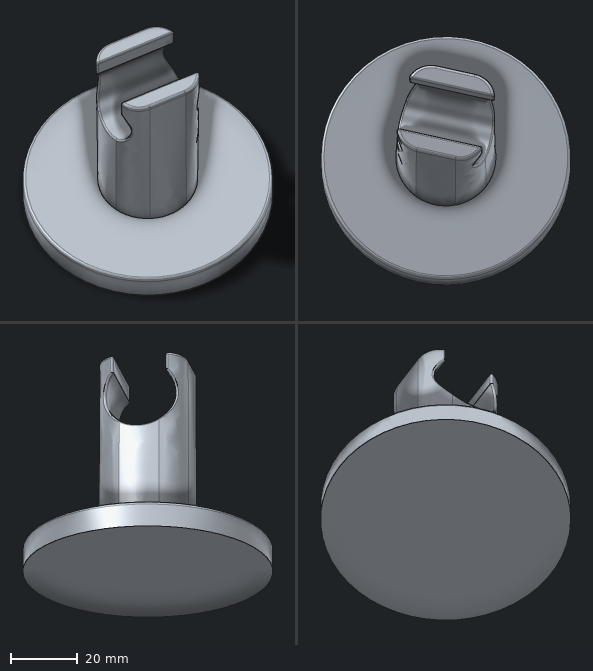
import cadquery as cq
import math

flange_radius = 37.5
flange_height = 8.0
edge_round = 1.0

total_height = 65.3
post_height = total_height - flange_height
post_radius = 15.0
top_half_width = 13.5
top_corner_radius = 7.5

bore_radius = 10.6
bore_height = 52.7
slot_half_width = 7.95
rim_round = 0.5


def arc_outline(workplane, side_ends, side_middle, corner_middle, straight_sides):
    """Draw four sides and four corner arcs, turning the same points through 90 degrees."""

    def turned(point, quarter):
        x, y = point
        for _ in range(quarter):
            x, y = -y, x
        return x, y

    side_start, side_end = side_ends
    outline = workplane.moveTo(*side_start)
    for quarter in range(4):
        if straight_sides:
            outline = outline.lineTo(*turned(side_end, quarter))
        else:
            outline = outline.threePointArc(turned(side_middle, quarter), turned(side_end, quarter))
        outline = outline.threePointArc(turned(corner_middle, quarter), turned(side_start, quarter + 1))
    return outline.close()


def make_flange():
    flange = cq.Workplane("XY").circle(flange_radius).extrude(flange_height)
    return flange.faces(">Z").edges().fillet(edge_round)


def make_post():
    straight_half = top_half_width - top_corner_radius
    side_angle = math.atan2(straight_half, top_half_width)
    diagonal = math.sqrt(0.5)

    side_x = post_radius * math.cos(side_angle)
    side_y = post_radius * math.sin(side_angle)
    circle = arc_outline(
        cq.Workplane("XY", origin=(0, 0, flange_height)),
        ((side_x, -side_y), (side_x, side_y)),
        (post_radius, 0),
        (post_radius * diagonal, post_radius * diagonal),
        straight_sides=False,
    )
    corner_middle = straight_half + top_corner_radius * diagonal
    post = arc_outline(
        circle.workplane(offset=post_height),
        ((top_half_width, -straight_half), (top_half_width, straight_half)),
        (top_half_width, 0),
        (corner_middle, corner_middle),
        straight_sides=True,
    ).loft(ruled=True)
    return post.faces(">Z").edges().fillet(edge_round)


def make_cradle_cutter():
    length = 2 * flange_radius
    slot_height = total_height - bore_height
    bore = cq.Workplane("XZ", origin=(0, 0, bore_height)).circle(bore_radius).extrude(length / 2, both=True)
    slot = cq.Workplane("XY", origin=(0, 0, bore_height)).rect(2 * slot_half_width, length).extrude(slot_height)
    return bore.union(slot)


def round_cradle_rim(post):
    """Round the edges where the bore and slot break through the post's outside."""
    margin = 0.1

    def is_rim(edge):
        center = edge.Center()
        along_y = edge.BoundingBox().ylen > post_radius
        return abs(center.x) < bore_radius + margin and not along_y

    cradle_faces = [
        face for face in post.faces().vals()
        if face.geomType() == "CYLINDER" and abs(face.Center().y) < margin
        or face.geomType() == "PLANE" and abs(abs(face.Center().x) - slot_half_width) < margin
    ]
    rim = [edge for face in cradle_faces for edge in face.Edges() if is_rim(edge)]
    return post.newObject(rim).fillet(rim_round)


cradle = round_cradle_rim(make_post().cut(make_cradle_cutter()))
result = make_flange().union(cradle)